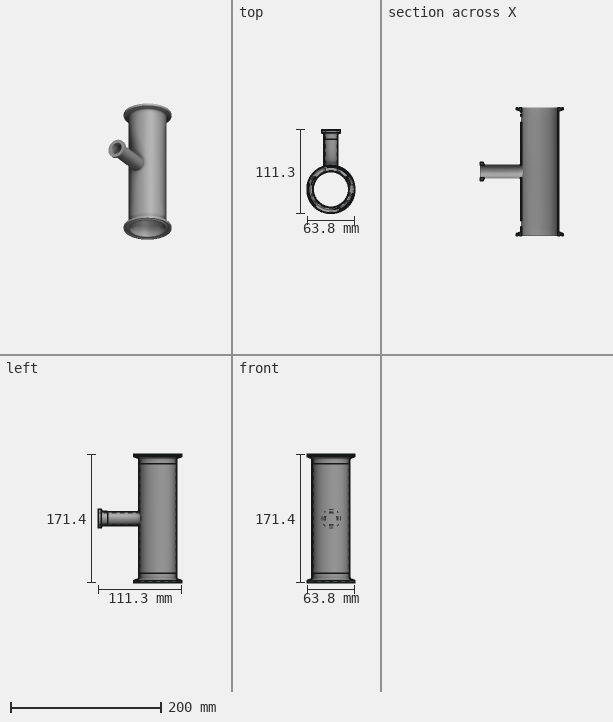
import cadquery as cq
import math

total_length = 171.4
branch_reach = 79.4

main_outer_radius = 25.4
main_bore_radius = 23.8
main_rim_radius = 31.9
main_rim_thickness = 2.9
main_ferrule_length = 12.5
main_neck_fillet = 1.5
main_mouth_round = 0.5

wall = main_outer_radius - main_bore_radius
branch_outer_radius = 9.5
branch_bore_radius = branch_outer_radius - wall
branch_rim_radius = 12.5
branch_rim_thickness = 4.0
branch_ferrule_length = 12.7
branch_neck_fillet = 0.9
branch_mouth_round = 0.3
junction_fillet = 0.9

back_slope_degrees = 20
back_slope = math.radians(back_slope_degrees)
groove_radius = 28.3
groove_width = 2.9
groove_depth = 1.2
groove_edge_fillet = 0.5


def ferrule_blank(outer_radius, bore_radius, rim_radius, rim_thickness, length, neck_fillet, mouth_round):
    """Clamp ferrule on the Z axis, with its end face at Z = 0 and its neck going down."""
    cone_depth = (rim_radius - outer_radius) * math.tan(back_slope)
    neck_depth = rim_thickness + cone_depth
    profile = (
        cq.Workplane("XZ")
        .moveTo(bore_radius, 0)
        .lineTo(rim_radius, 0)
        .lineTo(rim_radius, -rim_thickness)
        .lineTo(outer_radius, -neck_depth)
        .lineTo(outer_radius, -length)
        .lineTo(bore_radius, -length)
        .close()
    )
    body = profile.revolve(360, (0, 0, 0), (0, 1, 0))
    neck_box = cq.selectors.BoxSelector(
        (-rim_radius, -rim_radius, -neck_depth - mouth_round),
        (rim_radius, rim_radius, -neck_depth + mouth_round),
        boundingbox=True,
    )
    body = body.edges(neck_box).fillet(neck_fillet)
    return body.faces(">Z").edges(cq.selectors.RadiusNthSelector(0)).fillet(mouth_round)


def cut_gasket_groove(body):
    """Cut a round-bottomed ring groove with softened edges into the end face."""
    half_width = groove_width / 2
    groove = (
        cq.Workplane("XZ")
        .moveTo(groove_radius - half_width, 0)
        .threePointArc((groove_radius, -groove_depth), (groove_radius + half_width, 0))
        .close()
        .revolve(360, (0, 0, 0), (0, 1, 0))
    )
    grooved = body.cut(groove)
    groove_edges = cq.selectors.RadiusNthSelector(1) + cq.selectors.RadiusNthSelector(2)
    return grooved.faces(">Z").edges(groove_edges).fillet(groove_edge_fillet)


def make_main_ferrule(end):
    """Ferrule closing the upper (end = 1) or lower (end = -1) end of the main run."""
    blank = ferrule_blank(
        main_outer_radius, main_bore_radius, main_rim_radius, main_rim_thickness,
        main_ferrule_length, main_neck_fillet, main_mouth_round,
    )
    ferrule = cut_gasket_groove(blank).translate((0, 0, total_length / 2))
    if end < 0:
        ferrule = ferrule.rotate((0, 0, 0), (1, 0, 0), 180)
    return ferrule


def make_branch_ferrule():
    """Small ferrule on the branch, facing +Y."""
    blank = ferrule_blank(
        branch_outer_radius, branch_bore_radius, branch_rim_radius, branch_rim_thickness,
        branch_ferrule_length, branch_neck_fillet, branch_mouth_round,
    )
    return blank.rotate((0, 0, 0), (1, 0, 0), -90).translate((0, branch_reach, 0))


def make_tee():
    """Main tube with the branch tube opening into its bore."""
    tube_length = total_length - 2 * main_ferrule_length
    branch_length = branch_reach - branch_ferrule_length
    branch_plane = cq.Workplane("XZ")
    outside = cq.Workplane("XY").circle(main_outer_radius).extrude(tube_length / 2, both=True)
    outside = outside.union(branch_plane.circle(branch_outer_radius).extrude(-branch_length))
    junction_box = cq.selectors.BoxSelector(
        (-main_outer_radius, 0, -main_outer_radius),
        (main_outer_radius, main_outer_radius + wall, main_outer_radius),
        boundingbox=True,
    )
    outside = outside.edges(junction_box).fillet(junction_fillet)
    main_bore = cq.Workplane("XY").circle(main_bore_radius).extrude(tube_length / 2, both=True)
    branch_bore = branch_plane.circle(branch_bore_radius).extrude(-branch_length)
    return outside.cut(main_bore).cut(branch_bore)


tee = make_tee()
main_ferrules = [make_main_ferrule(end) for end in (1, -1)]
branch_ferrule = make_branch_ferrule()

result = cq.Compound.makeCompound([
    tee.val(),
    *[ferrule.val() for ferrule in main_ferrules],
    branch_ferrule.val(),
])